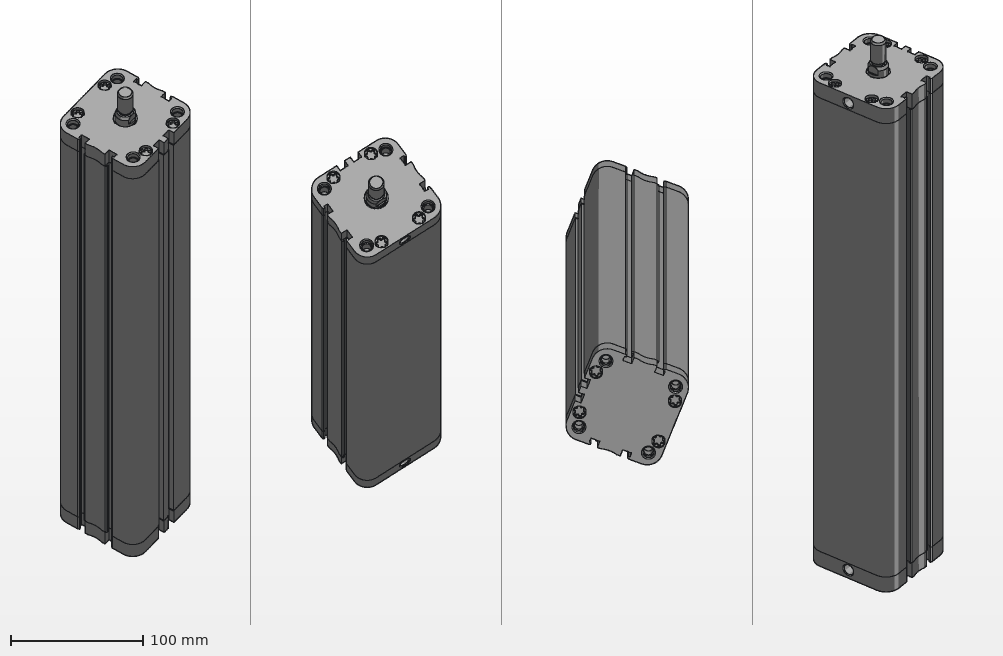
import cadquery as cq

TOTAL_HEIGHT = 479.0
WIDTH = 77.0
CORNER_RADIUS = 12.0
ROD_PROTRUSION = 29.5
CAP_THICKNESS = 14.0

BODY_HEIGHT = TOTAL_HEIGHT - ROD_PROTRUSION
BARREL_HEIGHT = BODY_HEIGHT - 2 * CAP_THICKNESS
TOP_CAP_Z = BODY_HEIGHT - CAP_THICKNESS
HALF_WIDTH = WIDTH / 2

T_SLOT_OFFSET = 13.0
T_SLOT_MOUTH = 4.5
T_SLOT_WIDTH = 7.0
T_SLOT_DEPTH = 5.5
T_SLOT_LIP = 2.0
MOUTH_BEVEL_WIDTH = 1.5
MOUTH_BEVEL_DEPTH = 0.5

HOLLOW_WIDTH = 13.0
HOLLOW_DEPTH = 1.0

SIDE_SLOT_OFFSET = 6.0
SIDE_SLOT_DEPTH = 5.0
BARREL_SIDE_SLOT_WIDTH = 5.7
CAP_SIDE_SLOT_WIDTH = 7.0

MOUNT_OFFSET = 28.5
MOUNT_SINK_DIAMETER = 10.5
MOUNT_BORE_DIAMETER = 8.5
MOUNT_BORE_DEPTH = 5.0
MOUNT_HOLE_DIAMETER = 6.5
MOUNT_SINK_DEPTH = (MOUNT_SINK_DIAMETER - MOUNT_BORE_DIAMETER) / 2

SCREW_X = 32.0
SCREW_Y = 17.2
SCREW_RECESS_DIAMETER = 10.0
SCREW_RECESS_DEPTH = 2.5
SOCKET_DEPTH = 2.5
SOCKET_DIAMETER = 8.5
SOCKET_CORE_DIAMETER = 6.0
LOBE_COUNT = 6
LOBE_DIAMETER = 2.5

PORT_MOUTH_DIAMETER = 10.0
PORT_DIAMETER = 8.5
PORT_DEPTH = 9.5
PORT_INSET = 7.5

PASSAGE_DIAMETER = 4.0
PASSAGE_OFFSET = 2.0
PASSAGE_LENGTH = 5.0

ROD_DIAMETER = 16.0
ROD_SEAL_DIAMETER = 18.0
ROD_SEAL_DEPTH = 1.5
THREAD_DIAMETER = 12.0
THREAD_TIP_LENGTH = 2.0
THREAD_CHAMFER = 1.0
NECK_DIAMETER = 10.0
NECK_LENGTH = 1.5
SHOULDER_HEIGHT = 8.0
SHOULDER_CHAMFER = 1.5
SHOULDER_CHAMFER_LENGTH = 2.5
FLAT_DISTANCE = 13.0
FLAT_START = 1.5


def mouth_bevel(x, direction, height):
    """Cutter bevelling a mouth edge at x on the -Y face; direction points into the wall."""
    return (
        cq.Workplane("XY")
        .moveTo(x, -HALF_WIDTH)
        .lineTo(x, MOUTH_BEVEL_DEPTH - HALF_WIDTH)
        .lineTo(x + direction * MOUTH_BEVEL_WIDTH, -HALF_WIDTH)
        .close()
        .extrude(height)
    )


def slot_box(x_min, x_max, y_min, y_max, height):
    """Rectangular cutter standing on Z = 0."""
    return cq.Workplane("XY").box(
        x_max - x_min, y_max - y_min, height, centered=False
    ).translate((x_min, y_min, 0))


def sensor_slot(height, inner_lip):
    """Undercut slot at +X on the -Y face; inner_lip keeps the lip nearest the centre."""
    undercut_in = T_SLOT_OFFSET - T_SLOT_WIDTH / 2
    undercut_out = T_SLOT_OFFSET + T_SLOT_WIDTH / 2
    mouth_in = T_SLOT_OFFSET - T_SLOT_MOUTH / 2
    mouth_out = T_SLOT_OFFSET + T_SLOT_MOUTH / 2
    lip_y = T_SLOT_LIP - HALF_WIDTH
    floor_y = T_SLOT_DEPTH - HALF_WIDTH
    undercut = slot_box(undercut_in, undercut_out, lip_y, floor_y, height)
    slot = undercut.union(mouth_bevel(mouth_out, 1, height))
    if inner_lip:
        slot = slot.union(mouth_bevel(mouth_in, -1, height))
    mouth_start = mouth_in if inner_lip else undercut_in
    return slot.union(slot_box(mouth_start, mouth_out, -HALF_WIDTH, lip_y, height))


def hollow(height):
    """Circular-segment groove cutter on the -Y face."""
    half = HOLLOW_WIDTH / 2
    return (
        cq.Workplane("XY")
        .moveTo(-half, -HALF_WIDTH)
        .threePointArc((0, HOLLOW_DEPTH - HALF_WIDTH), (half, -HALF_WIDTH))
        .close()
        .extrude(height)
    )


def grooved_block(height, inner_lip, side_slot_width):
    """Rounded square block on Z = 0 with all its lengthwise grooves."""
    block = cq.Workplane("XY").box(WIDTH, WIDTH, height, centered=(True, True, False))
    block = block.edges("|Z").fillet(CORNER_RADIUS)
    right_slot = sensor_slot(height, inner_lip)
    for groove in (right_slot, right_slot.mirror("YZ"), hollow(height)):
        block = block.cut(groove).cut(groove.mirror("XZ"))
    side_slots = (
        cq.Workplane("XY")
        .pushPoints([(HALF_WIDTH - SIDE_SLOT_DEPTH / 2, s * SIDE_SLOT_OFFSET) for s in (-1, 1)])
        .rect(SIDE_SLOT_DEPTH, side_slot_width)
        .extrude(height)
    )
    return block.cut(side_slots)


def disc(diameter, depth, top=0.0):
    """Round cutter that goes down by depth from the height top."""
    return cq.Workplane("XY", origin=(0, 0, top - depth)).circle(diameter / 2).extrude(depth)


def mounting_hole():
    """Mounting hole cutter with its mouth at Z = 0."""
    cone = cq.Workplane(cq.Solid.makeCone(
        MOUNT_BORE_DIAMETER / 2, MOUNT_SINK_DIAMETER / 2, MOUNT_SINK_DEPTH,
        pnt=cq.Vector(0, 0, -MOUNT_SINK_DEPTH)))
    bore = disc(MOUNT_BORE_DIAMETER, MOUNT_BORE_DEPTH)
    return bore.union(cone).union(disc(MOUNT_HOLE_DIAMETER, CAP_THICKNESS))


def screw_recess():
    """Screw head recess cutter with its mouth at Z = 0."""
    recess = disc(SCREW_RECESS_DIAMETER, SCREW_RECESS_DEPTH)
    core = disc(SOCKET_CORE_DIAMETER, SOCKET_DEPTH, -SCREW_RECESS_DEPTH)
    lobes = (
        cq.Workplane("XY", origin=(0, 0, -SCREW_RECESS_DEPTH))
        .polarArray((SOCKET_DIAMETER - LOBE_DIAMETER) / 2, 0, 360, LOBE_COUNT)
        .circle(LOBE_DIAMETER / 2)
        .extrude(-SOCKET_DEPTH)
    )
    return recess.union(core).union(lobes)


def air_port():
    """Port cutter entering the -X face, for a cap whose outer face is at Z = CAP_THICKNESS."""
    chamfer = (PORT_MOUTH_DIAMETER - PORT_DIAMETER) / 2
    centre = cq.Vector(-HALF_WIDTH, 0, CAP_THICKNESS - PORT_INSET)
    inward = cq.Vector(1, 0, 0)
    bore = cq.Solid.makeCylinder(PORT_DIAMETER / 2, PORT_DEPTH, centre, inward)
    cone = cq.Solid.makeCone(PORT_MOUTH_DIAMETER / 2, PORT_DIAMETER / 2, chamfer, centre, inward)
    return cq.Workplane(bore).union(cq.Workplane(cone))


def end_cap():
    """Cap standing on its barrel joint at Z = 0, with its outer face on top."""
    cap = grooved_block(CAP_THICKNESS, False, CAP_SIDE_SLOT_WIDTH)
    mount = mounting_hole()
    screw = screw_recess()
    for sx in (-1, 1):
        for sy in (-1, 1):
            cap = cap.cut(mount.translate((sx * MOUNT_OFFSET, sy * MOUNT_OFFSET, CAP_THICKNESS)))
            cap = cap.cut(screw.translate((sx * SCREW_X, sy * SCREW_Y, CAP_THICKNESS)))
    return cap.cut(air_port())


def make_barrel():
    barrel = grooved_block(BARREL_HEIGHT, True, BARREL_SIDE_SLOT_WIDTH)
    return barrel.translate((0, 0, CAP_THICKNESS))


def make_bottom_cap():
    """Lower cap: the end cap turned upside down, with an air passage behind its port."""
    passage = (
        cq.Workplane("YZ", origin=(PORT_DEPTH - HALF_WIDTH, 0, PORT_INSET + PASSAGE_OFFSET))
        .circle(PASSAGE_DIAMETER / 2)
        .extrude(PASSAGE_LENGTH)
    )
    return end_cap().mirror("XY").translate((0, 0, CAP_THICKNESS)).cut(passage)


def make_top_cap():
    """Upper cap, bored for the rod with a shallow seal recess around it."""
    rod_bore = disc(ROD_DIAMETER, CAP_THICKNESS, CAP_THICKNESS)
    seal_recess = disc(ROD_SEAL_DIAMETER, ROD_SEAL_DEPTH, CAP_THICKNESS)
    return end_cap().cut(rod_bore).cut(seal_recess).translate((0, 0, TOP_CAP_Z))


def tapered_bar(diameter, bottom, top, chamfer, chamfer_length):
    """Round bar between two heights whose upper end narrows by chamfer over chamfer_length."""
    radius = diameter / 2
    return (
        cq.Workplane("XZ")
        .moveTo(0, bottom)
        .lineTo(radius, bottom)
        .lineTo(radius, top - chamfer_length)
        .lineTo(radius - chamfer, top)
        .lineTo(0, top)
        .close()
        .revolve(360, (0, 0, 0), (0, 1, 0))
    )


def make_rod():
    """Rod from the barrel joint up, with wrench flats, a neck and a plain threaded end."""
    shoulder_z = BODY_HEIGHT + SHOULDER_HEIGHT
    thread_z = shoulder_z + NECK_LENGTH
    rod = tapered_bar(ROD_DIAMETER, TOP_CAP_Z, shoulder_z, SHOULDER_CHAMFER, SHOULDER_CHAMFER_LENGTH)
    flat_height = SHOULDER_HEIGHT - FLAT_START
    flat_depth = (ROD_DIAMETER - FLAT_DISTANCE) / 2
    flats = (
        cq.Workplane("XY", origin=(0, 0, BODY_HEIGHT + FLAT_START))
        .pushPoints([(s * (FLAT_DISTANCE + flat_depth) / 2, 0) for s in (-1, 1)])
        .rect(flat_depth, ROD_DIAMETER)
        .extrude(flat_height)
    )
    neck = disc(NECK_DIAMETER, NECK_LENGTH, thread_z)
    thread = tapered_bar(THREAD_DIAMETER, thread_z, TOTAL_HEIGHT, THREAD_CHAMFER, THREAD_TIP_LENGTH)
    thread = thread.faces("<Z").chamfer(THREAD_CHAMFER)
    return rod.cut(flats).union(neck).union(thread)


barrel = make_barrel()
bottom_cap = make_bottom_cap()
top_cap = make_top_cap()
piston_rod = make_rod()

result = cq.Compound.makeCompound([barrel.val(), bottom_cap.val(), top_cap.val(), piston_rod.val()])